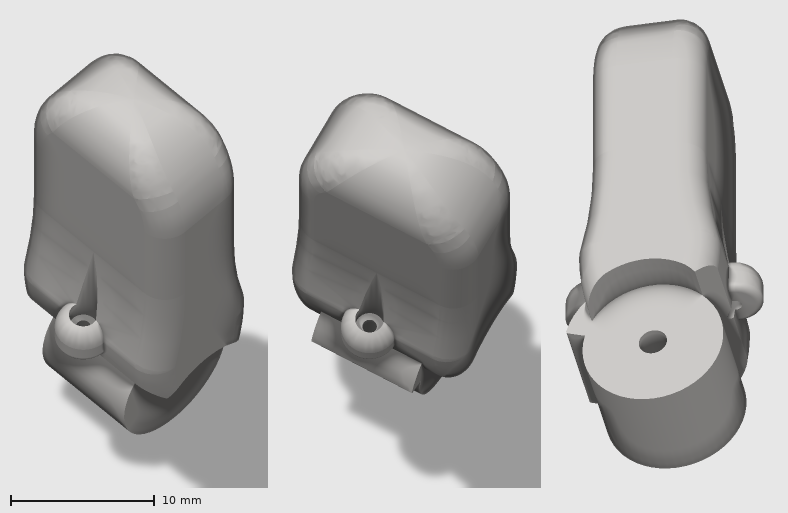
import cadquery as cq
import math


wheel_radius = 5.0
wheel_width = 8.0
axle_hole_diameter = 2.0

body_width = 14.0
body_top_z = 29.38
neck_half_depth = 4.0
flare_half_depth = 5.0
flare_top_z = 15.0
flare_bottom_z = 7.27
toe_angle = 30.0
toe_y = wheel_radius * math.cos(math.radians(toe_angle))
toe_z = wheel_radius * math.sin(math.radians(toe_angle))
edge_radius = 2.0
selection_margin = 0.01

lug_radius = 2.0
lug_y = flare_half_depth
lug_root_y = 3.5
lug_bottom_z = 5.5
lug_top_z = 8.5
lug_top_fillet = 1.5
lug_bottom_fillet = 0.5
lug_bore_diameter = 1.0
lug_socket_diameter = 2.0
lug_socket_floor_z = 7.0

pawl_root_angle = 15.0
pawl_tip_y = 6.2
pawl_tip_z = 1.75
pawl_top_y = 4.6
pawl_top_z = 4.5
pawl_mid_y = 5.67
pawl_mid_z = 3.1
pawl_tip_fillet = 0.2


def x_extrusion(profile, width):
    """Extrude a profile drawn in the YZ plane to a width centred on X = 0."""
    return profile.extrude(width / 2, both=True)


def vertical_start_arc_middle(start, end):
    """Middle point of the arc that leaves start vertically and runs down to end."""
    across = end[0] - start[0]
    down = start[1] - end[1]
    radius = (across**2 + down**2) / (2 * abs(across))
    half_angle = math.asin(down / radius) / 2
    mid_y = start[0] + math.copysign(radius * (1 - math.cos(half_angle)), across)
    mid_z = start[1] - radius * math.sin(half_angle)
    return (mid_y, mid_z)


def mirrored(point):
    """Mirror a (y, z) point across the Y = 0 plane."""
    return (-point[0], point[1])


def make_body():
    """Round-topped body with a flared foot and rounded edges, before the wheel space is cut."""
    neck = (neck_half_depth, flare_top_z)
    kink = (flare_half_depth, flare_bottom_z)
    toe = (toe_y, toe_z)
    shoulder = (neck_half_depth, body_top_z - neck_half_depth)

    flare_mid = vertical_start_arc_middle(neck, kink)
    toe_mid = vertical_start_arc_middle(kink, toe)

    side = x_extrusion(
        cq.Workplane("YZ")
        .moveTo(*toe)
        .threePointArc(toe_mid, kink)
        .threePointArc(flare_mid, neck)
        .lineTo(*shoulder)
        .threePointArc((0, body_top_z), mirrored(shoulder))
        .lineTo(*mirrored(neck))
        .threePointArc(mirrored(flare_mid), mirrored(kink))
        .threePointArc(mirrored(toe_mid), mirrored(toe))
        .close(),
        body_width,
    )
    half_width = body_width / 2
    spring_z = body_top_z - half_width
    front = (
        cq.Workplane("XZ")
        .moveTo(-half_width, 0)
        .lineTo(-half_width, spring_z)
        .threePointArc((0, body_top_z), (half_width, spring_z))
        .lineTo(half_width, 0)
        .close()
        .extrude(body_width, both=True)
    )
    body = side.intersect(front)
    kink_zone = cq.selectors.BoxSelector(
        (-body_width, -body_width, flare_bottom_z - selection_margin),
        (body_width, body_width, flare_bottom_z + selection_margin),
        boundingbox=True,
    )
    outline_edges = body.edges("not (|X or |Y)")
    return outline_edges.add(body.edges(kink_zone)).fillet(edge_radius)


def upright_cylinder(diameter, bottom_z, top_z, y):
    """Vertical cylinder on the X = 0 plane."""
    return cq.Workplane("XY", origin=(0, y, bottom_z)).circle(diameter / 2).extrude(top_z - bottom_z)


def make_lug(side):
    """Half-round lug on the side of the body facing +Y (side = 1) or -Y (side = -1)."""
    bottom_plane = cq.Workplane("XY", origin=(0, 0, lug_bottom_z))
    outline = (
        bottom_plane.moveTo(-lug_radius, side * lug_root_y)
        .lineTo(-lug_radius, side * lug_y)
        .threePointArc((0, side * (lug_y + lug_radius)), (lug_radius, side * lug_y))
        .lineTo(lug_radius, side * lug_root_y)
        .close()
    )
    lug = outline.extrude(lug_top_z - lug_bottom_z)
    lug = lug.faces(">Z").edges("not |X").fillet(lug_top_fillet)
    return lug.faces("<Z").edges("not |X").fillet(lug_bottom_fillet)


def make_lug_hole(side):
    """Cord hole: a narrow bore below a wide socket that runs out in the flare above the lug."""
    bore = upright_cylinder(lug_bore_diameter, 0, lug_top_z, side * lug_y)
    socket = upright_cylinder(lug_socket_diameter, lug_socket_floor_z, flare_top_z, side * lug_y)
    return bore.union(socket)


def make_relief():
    """Wedge below the 45 degree plane through the axle, on the -Y side."""
    wedge = cq.Workplane("YZ").polyline([(0, 0), (-body_width, body_width), (-body_width, 0)]).close()
    return x_extrusion(wedge, body_width)


def make_pawl():
    """Tooth that stands out from the wheel on the +Y side."""
    root = (
        wheel_radius * math.cos(math.radians(pawl_root_angle)),
        wheel_radius * math.sin(math.radians(pawl_root_angle)),
    )
    pawl = x_extrusion(
        cq.Workplane("YZ")
        .lineTo(*root)
        .lineTo(pawl_tip_y, pawl_tip_z)
        .threePointArc((pawl_mid_y, pawl_mid_z), (pawl_top_y, pawl_top_z))
        .close(),
        wheel_width,
    )
    return pawl.edges("|X").edges(">Y").fillet(pawl_tip_fillet)


def make_wheel():
    """Wheel and pawl with the axle hole through them."""
    wheel = x_extrusion(cq.Workplane("YZ").circle(wheel_radius), wheel_width)
    axle_hole = x_extrusion(cq.Workplane("YZ").circle(axle_hole_diameter / 2), body_width)
    return wheel.union(make_pawl()).cut(axle_hole)


wheel_space = x_extrusion(cq.Workplane("YZ").circle(wheel_radius), body_width)
body = make_body().cut(make_relief())
for side in (1, -1):
    body = body.union(make_lug(side))
for side in (1, -1):
    body = body.cut(make_lug_hole(side))
result = body.cut(wheel_space).union(make_wheel())